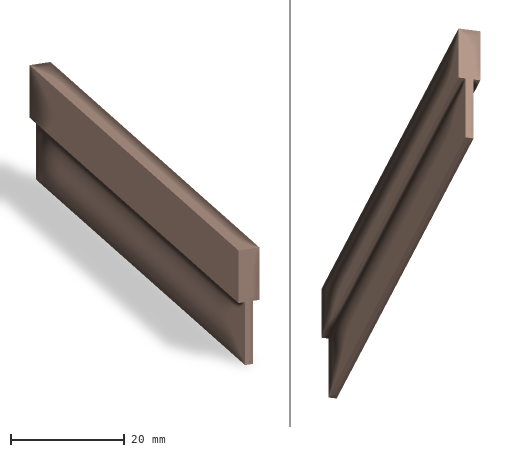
import cadquery as cq

length = 96.0
head_thickness = 4.0
head_height = 10.0
blade_thickness = 1.5
blade_height = 12.0


def centered_bar(thickness, height, bottom):
    """Full-length bar centred in X and Y, standing on the given Z level."""
    return (
        cq.Workplane("XY")
        .workplane(offset=bottom)
        .rect(length, thickness)
        .extrude(height)
    )


blade = centered_bar(blade_thickness, blade_height, 0.0)
head = centered_bar(head_thickness, head_height, blade_height)

result = blade.union(head)